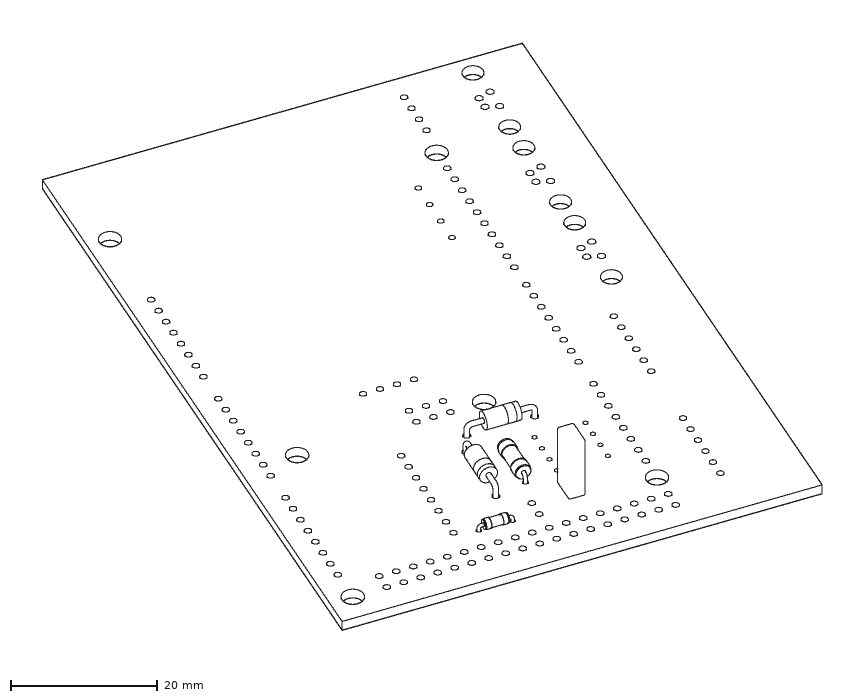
import cadquery as cq

BOARD_LENGTH = 101.98
BOARD_WIDTH = 71.75
BOARD_THICKNESS = 1.6

PITCH = 2.54

GRID_ORIGIN_X = -49.73
GRID_ORIGIN_Y = -34.98
MOUNTING_SPOTS = [(5.5, 1), (6, 20), (26, 3), (26, 14), (35.5, 20), (38, 1)]
HEADER_ROWS = [
    (7.4, 20, 10),
    (18, 20, 8),
    (27, 20, 8),
    (11, 1, 8),
    (20, 1, 8),
    (29, 1, 8),
]
HEADER_COLUMNS = [
    (25.05, 10, 3),
    (26.05, 10, 3),
    (37, 3, 18),
    (38, 3, 18),
]

MOUNTING_HOLE = 3.2
CONNECTOR_PEG_HOLE = 3.0
HEADER_HOLE = 1.02
SOCKET_HOLE = 1.0
CONNECTOR_HOLE = 1.1
MODULE_HOLE = 0.9
CHIP_HOLE = 0.7

CONNECTOR_COUNT = 3
CONNECTOR_SPACING = 17.3
FIRST_CONNECTOR_X = -41.72
CONNECTOR_PEG_Y = 27.16
CONNECTOR_PEG_SPACING = 12.5
CONNECTOR_BACK_PINS = (3.3, 27.69)
CONNECTOR_FRONT_PINS = (2.0, 25.78)

TOP_SOCKET_Y = 24.12
LEFT_SOCKET_ROW = (6.88, TOP_SOCKET_Y, 6)
RIGHT_SOCKET_ROW = (30.4, TOP_SOCKET_Y, 6)
DISPLAY_ROW = (-47.03, 16.46, 4)
JUMPER_ROW = (38.52, -2.05, 2)
DRIVER_ROW = (22.17, -14.39, 8)
SIDE_SOCKET = (8.1, -13.91, 4)

MODULE_ROW = (-28.68, 10.53, 4)
MODULE_PITCH = 1.5 * PITCH

CHIP_ROW_LENGTH = 4
CHIP_FIRST_X = 25.95
CHIP_FIRST_Y = 3.88
CHIP_ROW_SPACING = 3 * PITCH

DIODE_PITCH = 4 * PITCH
DIODE_LENGTH = 5.2
DIODE_DIAMETER = 2.7
DIODE_BAND_DIAMETER = 2.72
DIODE_BAND_WIDTH = DIODE_LENGTH / 4
DIODE_BAND_START = 0.56
DIODE_LEAD = 0.8
DIODE_AXIS_Z = 1.85
DIODE_LEAD_DEPTH = 2.6
DIODE_HOLE = 1.1
DIODE_PLACES = [(21.88, 0.62, 90), (30.08, -5.95, 0)]

BIG_RESISTOR = {
    "pitch": 3 * PITCH,
    "length": 6.3,
    "diameter": 2.5,
    "lead": 0.6,
    "hole": 0.8,
    "place": (30.32, -1.07, 0),
}
SMALL_RESISTOR = {
    "pitch": 2 * PITCH,
    "length": 3.6,
    "diameter": 1.6,
    "lead": 0.5,
    "hole": 0.7,
    "place": (40.88, -8.48, 90),
}
RESISTOR_WAIST_RATIO = 0.9
RESISTOR_CAP_RATIO = 0.25
RESISTOR_ROUND_RATIO = 0.25
RESISTOR_LEAD_DEPTH = 3.0

CAPACITOR_LENGTH = 4.1
CAPACITOR_WIDTH = 2.5
CAPACITOR_HEIGHT = 10.0
CAPACITOR_ROUND = 0.3
CAPACITOR_LEAD = 0.5
CAPACITOR_PITCH = 2.5
CAPACITOR_LEAD_DEPTH = 2.0
CAPACITOR_HOLE = 0.8
CAPACITOR_PLACE = (38.0, 4.08, 0)


def grid_point(column, row):
    return (GRID_ORIGIN_X + column * PITCH, GRID_ORIGIN_Y + row * PITCH)


def row_points(first_x, y, count, pitch=PITCH):
    return [(first_x + i * pitch, y) for i in range(count)]


def column_points(x, first_y, count):
    return [(x, first_y + i * PITCH) for i in range(count)]


def pair_points(place, spacing):
    """Two points centred on a place, along X when its turn is 0 and along Y when it is 90."""
    x, y, turn = place
    half = spacing / 2
    if turn == 0:
        return [(x - half, y), (x + half, y)]
    return [(x, y - half), (x, y + half)]


def placed(body, place):
    x, y, turn = place
    return body.rotate((0, 0, 0), (0, 0, 1), turn).translate((x, y, 0))


def make_board():
    header_points = []
    for column, row, count in HEADER_ROWS:
        header_points += row_points(*grid_point(column, row), count)
    for column, row, count in HEADER_COLUMNS:
        header_points += column_points(*grid_point(column, row), count)

    peg_points = []
    connector_points = []
    for i in range(CONNECTOR_COUNT):
        x = FIRST_CONNECTOR_X + i * CONNECTOR_SPACING
        peg_points += pair_points((x, CONNECTOR_PEG_Y, 0), CONNECTOR_PEG_SPACING)
        for spacing, y in (CONNECTOR_BACK_PINS, CONNECTOR_FRONT_PINS):
            connector_points += pair_points((x, y, 0), spacing)

    socket_points = column_points(*SIDE_SOCKET)
    for row in (LEFT_SOCKET_ROW, RIGHT_SOCKET_ROW, DISPLAY_ROW, JUMPER_ROW, DRIVER_ROW):
        socket_points += row_points(*row)

    chip_points = []
    for y in (CHIP_FIRST_Y, CHIP_FIRST_Y + CHIP_ROW_SPACING):
        chip_points += row_points(CHIP_FIRST_X, y, CHIP_ROW_LENGTH)

    diode_points = []
    for place in DIODE_PLACES:
        diode_points += pair_points(place, DIODE_PITCH)

    groups = [
        ([grid_point(*spot) for spot in MOUNTING_SPOTS], MOUNTING_HOLE),
        (header_points, HEADER_HOLE),
        (peg_points, CONNECTOR_PEG_HOLE),
        (connector_points, CONNECTOR_HOLE),
        (socket_points, SOCKET_HOLE),
        (row_points(*MODULE_ROW, MODULE_PITCH), MODULE_HOLE),
        (chip_points, CHIP_HOLE),
        (diode_points, DIODE_HOLE),
        (pair_points(CAPACITOR_PLACE, CAPACITOR_PITCH), CAPACITOR_HOLE),
    ]
    for resistor in (BIG_RESISTOR, SMALL_RESISTOR):
        groups.append((pair_points(resistor["place"], resistor["pitch"]), resistor["hole"]))
    board = cq.Workplane("XY").rect(BOARD_LENGTH, BOARD_WIDTH).extrude(-BOARD_THICKNESS)
    for points, diameter in groups:
        drills = cq.Workplane("XY").pushPoints(points).circle(diameter / 2).extrude(-BOARD_THICKNESS)
        board = board.cut(drills)
    return board


def rod(start_x, length, diameter, axis_z):
    """Round rod along X."""
    return cq.Workplane("YZ", origin=(start_x, 0, axis_z)).circle(diameter / 2).extrude(length)


def bent_lead(pitch, diameter, axis_z, depth):
    """One wire through the body, with both ends bent down; the bend radius equals the wire diameter."""
    half = pitch / 2
    bend = diameter
    path = (
        cq.Workplane("XZ")
        .moveTo(-half, -depth)
        .lineTo(-half, axis_z - bend)
        .tangentArcPoint((bend, bend))
        .lineTo(half - bend, axis_z)
        .tangentArcPoint((bend, -bend))
        .lineTo(half, -depth)
    )
    return cq.Workplane("XY", origin=(-half, 0, -depth)).circle(diameter / 2).sweep(path)


def make_diode(place):
    body = rod(-DIODE_LENGTH / 2, DIODE_LENGTH, DIODE_DIAMETER, DIODE_AXIS_Z)
    band = rod(DIODE_BAND_START, DIODE_BAND_WIDTH, DIODE_BAND_DIAMETER, DIODE_AXIS_Z)
    lead = bent_lead(DIODE_PITCH, DIODE_LEAD, DIODE_AXIS_Z, DIODE_LEAD_DEPTH)
    return placed(body.union(band).union(lead), place)


def make_resistor(resistor):
    """Round body with a slimmer waist and rounded end caps, resting on the board."""
    length = resistor["length"]
    diameter = resistor["diameter"]
    axis_z = diameter / 2
    cap = length * RESISTOR_CAP_RATIO
    rounding = diameter * RESISTOR_ROUND_RATIO
    half = length / 2
    body = rod(-half, length, diameter * RESISTOR_WAIST_RATIO, axis_z)
    body = body.union(rod(-half, cap, diameter, axis_z).faces("<X").edges().fillet(rounding))
    body = body.union(rod(half - cap, cap, diameter, axis_z).faces(">X").edges().fillet(rounding))
    lead = bent_lead(resistor["pitch"], resistor["lead"], axis_z, RESISTOR_LEAD_DEPTH)
    return placed(body.union(lead), resistor["place"])


def make_capacitor():
    """Block with rounded edges standing on the board; its leads start inside the block."""
    body = (
        cq.Workplane("XY")
        .box(CAPACITOR_LENGTH, CAPACITOR_WIDTH, CAPACITOR_HEIGHT, centered=(True, True, False))
        .edges()
        .fillet(CAPACITOR_ROUND)
    )
    leads = (
        cq.Workplane("XY", origin=(0, 0, CAPACITOR_HEIGHT / 2))
        .pushPoints(pair_points((0, 0, 0), CAPACITOR_PITCH))
        .circle(CAPACITOR_LEAD / 2)
        .extrude(-CAPACITOR_HEIGHT / 2 - CAPACITOR_LEAD_DEPTH)
    )
    return placed(body.union(leads), CAPACITOR_PLACE)


board = make_board()
diodes = [make_diode(place) for place in DIODE_PLACES]
big_resistor = make_resistor(BIG_RESISTOR)
small_resistor = make_resistor(SMALL_RESISTOR)
capacitor = make_capacitor()

result = cq.Compound.makeCompound(
    [
        board.val(),
        *[diode.val() for diode in diodes],
        big_resistor.val(),
        small_resistor.val(),
        capacitor.val(),
    ]
)